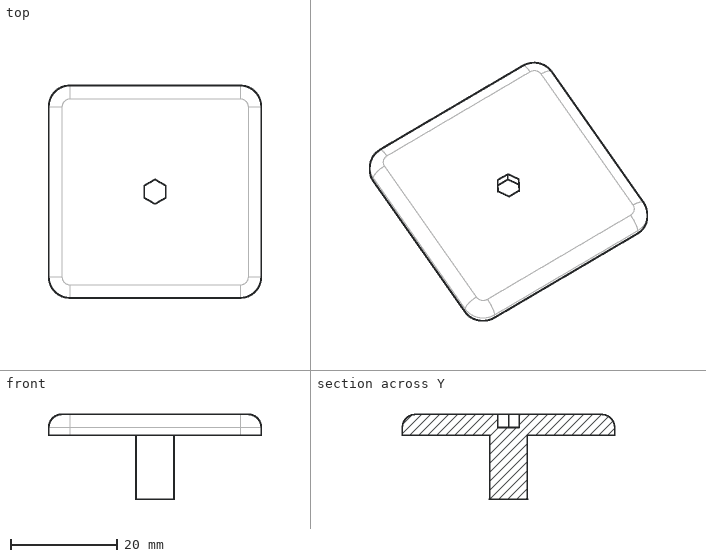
import cadquery as cq
import math

plate_side = 40.0
plate_thickness = 4.0
corner_radius = 4.0
top_edge_radius = 2.5

stud_diameter = 7.2
stud_length = 12.0

socket_sides = 6
socket_across_flats = 4.0
socket_across_corners = socket_across_flats / math.cos(math.pi / socket_sides)
socket_turn = 90.0
socket_depth = 2.5


def make_plate():
    """Square plate, underside at Z = 0, with rounded corners and a rounded top edge."""
    return (
        cq.Workplane("XY")
        .rect(plate_side, plate_side)
        .extrude(plate_thickness)
        .edges("|Z")
        .fillet(corner_radius)
        .faces(">Z")
        .edges()
        .fillet(top_edge_radius)
    )


def make_stud():
    """Round stud hanging from the centre of the underside."""
    return cq.Workplane("XY").circle(stud_diameter / 2).extrude(-stud_length)


def make_socket():
    """Hexagonal prism sunk from the top face."""
    return (
        cq.Workplane("XY")
        .workplane(offset=plate_thickness)
        .transformed(rotate=(0, 0, socket_turn))
        .polygon(socket_sides, socket_across_corners)
        .extrude(-socket_depth)
    )


result = make_plate().union(make_stud()).cut(make_socket())